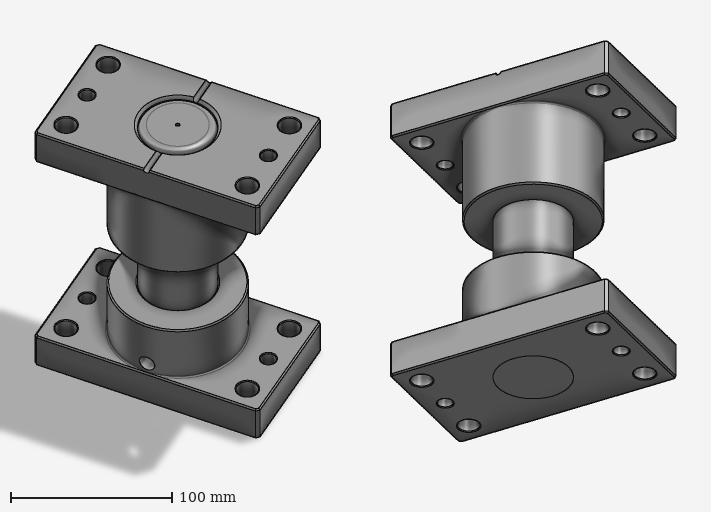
import cadquery as cq

plate_length = 155.0
plate_width = 90.0
plate_thickness = 25.0
plate_edge_chamfer = 1.0
plate_corner_chamfer = 2.0

collar_diameter = 87.9
collar_end_chamfer = 1.0
collar_root_fillet = 1.0
base_collar_height = 40.0
guide_collar_height = 60.0

pin_diameter = 50.0
pin_length = 200.0
pin_top_fillet = 5.5
pin_protrusion = 0.4
center_mark_diameter = 2.5
center_mark_depth = 2.0

base_mouth_chamfer = 1.0
guide_mouth_chamfer = 2.0

bolt_diameter = 14.0
bolt_spacing_x = 125.0
bolt_spacing_y = 60.0
dowel_diameter = 10.0
dowel_spacing = bolt_spacing_x
hole_mouth_chamfer = 0.6

set_screw_diameter = 10.5
set_screw_height = plate_thickness + 7.7

groove_radius = 2.0
groove_depth = 2.2

base_top = plate_thickness + base_collar_height
guide_top = pin_length - pin_protrusion


def make_plate():
    """Rectangular plate resting on Z = 0, with all its edges chamfered."""
    return (
        cq.Workplane("XY")
        .box(plate_length, plate_width, plate_thickness, centered=(True, True, False))
        .edges("|Z")
        .chamfer(plate_corner_chamfer)
        .faces("<Z or >Z")
        .edges()
        .chamfer(plate_edge_chamfer)
    )


def make_collar(height):
    """Round collar standing on the plate, chamfered at its free end."""
    return (
        cq.Workplane("XY", origin=(0, 0, plate_thickness))
        .circle(collar_diameter / 2)
        .extrude(height)
        .faces(">Z")
        .edges()
        .chamfer(collar_end_chamfer)
    )


def fillet_collar_root(body):
    """Blend the collar into the plate; the blend rolls over the plate edge at the narrow sides."""
    root_zone = cq.selectors.BoxSelector(
        (-plate_length / 2, -collar_diameter / 2, plate_thickness - collar_root_fillet),
        (plate_length / 2, collar_diameter / 2, plate_thickness + collar_root_fillet),
    )
    return body.edges(root_zone).edges("%CIRCLE").fillet(collar_root_fillet)


def mounting_holes(diameter, points):
    """Cutter for through holes in a plate, with both mouths chamfered."""
    shanks = cq.Workplane("XY").pushPoints(points).circle(diameter / 2).extrude(plate_thickness)
    lower_mouths = (
        cq.Workplane("XY")
        .pushPoints(points)
        .circle(diameter / 2 + hole_mouth_chamfer)
        .extrude(hole_mouth_chamfer, taper=45)
    )
    upper_mouths = lower_mouths.mirror("XY").translate((0, 0, plate_thickness))
    return shanks.union(lower_mouths).union(upper_mouths)


def make_flange(collar_height):
    """Plate resting on Z = 0 with a collar on top and the mounting holes cut."""
    bolt_x = bolt_spacing_x / 2
    bolt_y = bolt_spacing_y / 2
    bolt_points = [(x, y) for x in (-bolt_x, bolt_x) for y in (-bolt_y, bolt_y)]
    dowel_points = [(-dowel_spacing / 2, 0), (dowel_spacing / 2, 0)]
    body = fillet_collar_root(make_plate().union(make_collar(collar_height)))
    return (
        body.cut(mounting_holes(bolt_diameter, bolt_points))
        .cut(mounting_holes(dowel_diameter, dowel_points))
    )


def pin_bore(top, mouth_chamfer):
    """Cutter for the pin bore, from Z = 0 up to a chamfered mouth at the given level."""
    bore = cq.Workplane("XY").circle(pin_diameter / 2).extrude(top)
    mouth = (
        cq.Workplane("XY", origin=(0, 0, top))
        .circle(pin_diameter / 2 + mouth_chamfer)
        .workplane(offset=-mouth_chamfer)
        .circle(pin_diameter / 2)
        .loft(combine=True)
    )
    return bore.union(mouth)


def make_base():
    """Lower flange, with a set-screw hole from the -Y side into the bore."""
    set_screw = (
        cq.Workplane("XZ", origin=(0, 0, set_screw_height))
        .circle(set_screw_diameter / 2)
        .extrude(plate_width / 2)
    )
    return (
        make_flange(base_collar_height)
        .cut(pin_bore(base_top, base_mouth_chamfer))
        .cut(set_screw)
    )


def make_guide():
    """Upper flange: collar hanging down, lubrication groove along Y in the top face."""
    groove = (
        cq.Workplane("XZ", origin=(0, plate_width / 2, guide_top - groove_depth + groove_radius))
        .circle(groove_radius)
        .extrude(plate_width)
    )
    return (
        make_flange(guide_collar_height)
        .mirror("XY")
        .translate((0, 0, guide_top))
        .cut(pin_bore(guide_top, guide_mouth_chamfer))
        .cut(groove)
    )


def make_pin():
    """Straight pin with a rounded top edge and a small centre mark."""
    return (
        cq.Workplane("XY")
        .circle(pin_diameter / 2)
        .extrude(pin_length)
        .faces(">Z")
        .edges()
        .fillet(pin_top_fillet)
        .faces(">Z")
        .workplane()
        .hole(center_mark_diameter, center_mark_depth)
    )


base = make_base().solids()
guide = make_guide().solids()
pin = make_pin().solids()

result = cq.Compound.makeCompound([base.val(), guide.val(), pin.val()])